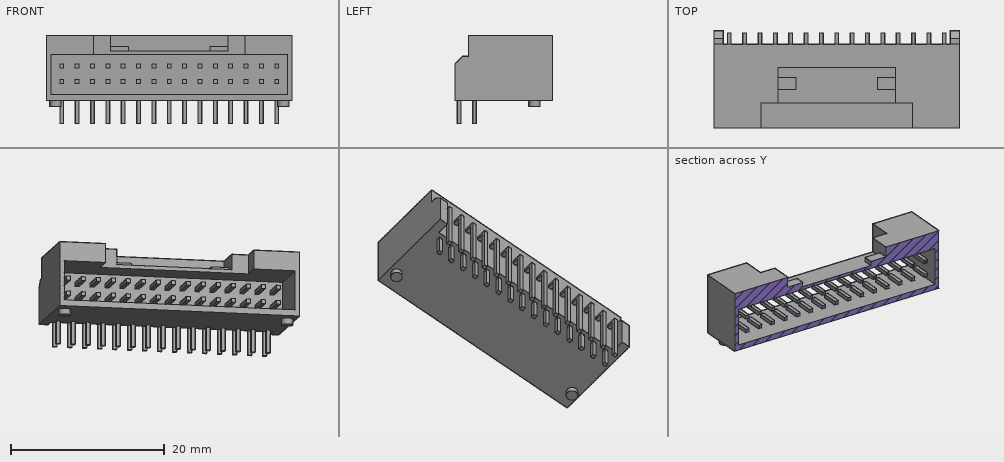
import cadquery as cq


LENGTH = 32.0
DEPTH = 12.7
HEIGHT = 8.5
EAR_DEPTH = 1.75
EAR_WIDTH = 1.2
EAR_HEIGHT = 5.8
EAR_CHAMFER = 1.0
REAR_WALL_Y = DEPTH - EAR_DEPTH

SIDE_WALL = 0.6
CAVITY_FLOOR = 0.8
CAVITY_TOP = 6.0
CAVITY_DEPTH = 7.75

NOTCH_WIDTH = 19.78
NOTCH_DEPTH = 3.3
RECESS_WIDTH = 15.33
RECESS_BACK_Y = 7.95
RECESS_FLOOR = 6.45
TAB_LENGTH = 2.35
TAB_FRONT_Y = 5.02
TAB_BACK_Y = 6.6
TAB_TOP = 7.07

CONTACT_COUNT = 15
ROW_SPAN = 28.0
PITCH = ROW_SPAN / (CONTACT_COUNT - 1)
WIRE = 0.5
CONTACT_TIP_Y = 3.8
LOWER_CONTACT_Z = 2.5
LEG_LENGTH = 2.98
REAR_LEG_INSET = 0.55
REAR_LEG_Y = DEPTH - REAR_LEG_INSET

PEG_DIAMETER = 1.5
PEG_LENGTH = 0.77
PEG_END_INSET = 1.15
PEG_Y = 2.37


def block(x_center, width, y_start, y_end, z_start, z_end):
    """Box centred on x_center, spanning the given Y and Z ranges."""
    size = (width, y_end - y_start, z_end - z_start)
    box = cq.Workplane("XY").box(*size, centered=(True, False, False))
    return box.translate((x_center, y_start, z_start))


def make_housing():
    """Shroud with its mating cavity, stepped top opening and latch tabs."""
    body = block(0, LENGTH, 0, REAR_WALL_Y, 0, HEIGHT)
    cavity = block(0, LENGTH - 2 * SIDE_WALL, 0, CAVITY_DEPTH, CAVITY_FLOOR, CAVITY_TOP)
    notch = block(0, NOTCH_WIDTH, 0, NOTCH_DEPTH, CAVITY_TOP, HEIGHT)
    recess = block(0, RECESS_WIDTH, 0, RECESS_BACK_Y, RECESS_FLOOR, HEIGHT)
    housing = body.cut(cavity).cut(notch).cut(recess)
    tab_x = (RECESS_WIDTH - TAB_LENGTH) / 2
    for side in (-1, 1):
        tab = block(side * tab_x, TAB_LENGTH, TAB_FRONT_Y, TAB_BACK_Y, RECESS_FLOOR, TAB_TOP)
        housing = housing.union(tab)
    return housing


def make_ear(side):
    """Rear end wall with a chamfered upper rear edge."""
    x_center = side * (LENGTH - EAR_WIDTH) / 2
    ear = block(x_center, EAR_WIDTH, REAR_WALL_Y, DEPTH, 0, EAR_HEIGHT)
    return ear.faces(">Y").edges(">Z").chamfer(EAR_CHAMFER)


def make_contact(x_center, z_center, leg_y):
    """Square wire running back from its tip and bending down into a solder leg."""
    half = WIRE / 2
    blade = block(x_center, WIRE, CONTACT_TIP_Y, leg_y + half, z_center - half, z_center + half)
    leg = block(x_center, WIRE, leg_y - half, leg_y + half, -LEG_LENGTH, z_center + half)
    return blade.union(leg)


def make_peg(side):
    """Round locating peg under one end of the housing."""
    x_center = side * (LENGTH / 2 - PEG_END_INSET)
    return cq.Workplane("XY").center(x_center, PEG_Y).circle(PEG_DIAMETER / 2).extrude(-PEG_LENGTH)


result = make_housing()
for end in (-1, 1):
    result = result.union(make_ear(end)).union(make_peg(end))

for index in range(CONTACT_COUNT):
    x = index * PITCH - ROW_SPAN / 2
    result = result.union(make_contact(x, LOWER_CONTACT_Z, REAR_LEG_Y - PITCH))
    result = result.union(make_contact(x, LOWER_CONTACT_Z + PITCH, REAR_LEG_Y))